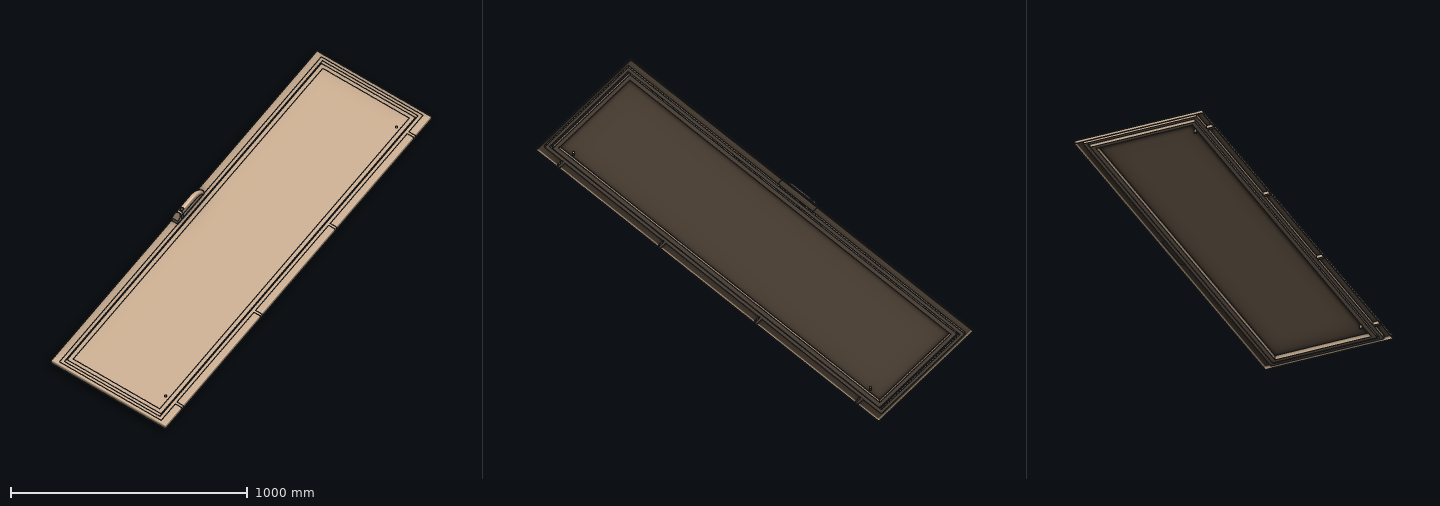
import cadquery as cq
door_width = 595.0
door_length = 1960.0
door_depth = 18.0
sheet = 2.0
bend_radius = 4.9

seal_drop = 5.0
seal_inset_x = 55.0
seal_inset_y = 45.0
seal_width_x = 20.0
seal_width_y = 18.0

frame_inset_x = 35.0
frame_inset_y = 18.0
frame_bar_x = 15.0
frame_bar_y = 14.0

lug_length = 12.0
lug_inner_pitch = 549.0
lug_outer_pitch = 1705.0

stud_diameter = 10.0
stud_inset = 92.0
stud_pitch = 1697.0

handle_width = 31.0
handle_height = 41.0
handle_wall_gap = 5.0
handle_back = 108.0
handle_front = -95.0
front_slope_top = -67.0
front_face_height = 20.0
nose_start = 35.0
crown_rise = 10.0

band_back = -55.0
band_front = -67.0
band_depth = 1.0
button_width = 12.0
button_length = 14.0
button_depth = 4.0
button_y = -43.0

panel_top = seal_drop + door_depth
panel_underside = panel_top - sheet
handle_x = handle_wall_gap + (handle_width - door_width) / 2


def block(width, length, bottom, top):
    """Box centred on the Z axis."""
    return cq.Workplane("XY").workplane(offset=bottom).rect(width, length).extrude(top - bottom)


def ring(inset_x, inset_y, bar_x, bar_y, bottom):
    """Rectangular frame hanging from the underside of the panel."""
    width = door_width - 2 * inset_x
    length = door_length - 2 * inset_y
    outer = block(width, length, bottom, panel_underside)
    return outer.cut(block(width - 2 * bar_x, length - 2 * bar_y, bottom, panel_underside))


def make_tray():
    outer = block(door_width, door_length, seal_drop, panel_top)
    outer = outer.edges("|Z").fillet(bend_radius).faces(">Z").edges().fillet(bend_radius)
    inside = block(door_width - 2 * sheet, door_length - 2 * sheet, seal_drop, panel_underside)
    inner_radius = bend_radius - sheet
    inside = inside.edges("|Z").fillet(inner_radius).faces(">Z").edges().fillet(inner_radius)
    return outer.cut(inside)


def make_lugs():
    lug_span = frame_inset_x - sheet
    lug_x = door_width / 2 - sheet - lug_span / 2
    lug_places = [(lug_x, side * pitch / 2) for pitch in (lug_inner_pitch, lug_outer_pitch) for side in (-1, 1)]
    lugs = cq.Workplane("XY").workplane(offset=seal_drop).pushPoints(lug_places)
    return lugs.rect(lug_span, lug_length).extrude(panel_underside - seal_drop)


def make_studs():
    stud_x = door_width / 2 - stud_inset
    studs = cq.Workplane("XY").workplane(offset=seal_drop)
    studs = studs.pushPoints([(stud_x, -stud_pitch / 2), (stud_x, stud_pitch / 2)])
    return studs.circle(stud_diameter / 2).extrude(panel_underside - seal_drop)


def make_door():
    door = make_tray()
    door = door.union(ring(seal_inset_x, seal_inset_y, seal_width_x, seal_width_y, 0))
    door = door.union(ring(frame_inset_x, frame_inset_y, frame_bar_x, frame_bar_y, seal_drop))
    return door.union(make_lugs()).union(make_studs())


def crown_bar(width, height, length):
    """Bar along -Y from Y = 0, standing on Z = 0, with an arched top."""
    side_height = height - crown_rise
    return (
        cq.Workplane("XZ")
        .moveTo(-width / 2, 0)
        .lineTo(width / 2, 0)
        .lineTo(width / 2, side_height)
        .threePointArc((0, height), (-width / 2, side_height))
        .close()
        .extrude(length)
    )


def make_nose():
    """Part of a crowned wheel whose rim leaves the flat top tangentially and meets the panel at the tip."""
    run = handle_back - nose_start
    rim_radius = (run**2 + handle_height**2) / (2 * handle_height)
    side_radius = rim_radius - crown_rise
    wheel = (
        cq.Workplane("XY")
        .moveTo(-handle_width / 2, 0)
        .lineTo(handle_width / 2, 0)
        .lineTo(handle_width / 2, side_radius)
        .threePointArc((0, rim_radius), (-handle_width / 2, side_radius))
        .close()
        .revolve(360, (0, 0), (1, 0))
        .translate((0, nose_start, handle_height - rim_radius))
    )
    nose_space = cq.Workplane("XY").box(handle_width, run, handle_height, centered=(True, False, False))
    return wheel.intersect(nose_space.translate((0, nose_start, 0)))


def make_front_slope_cutter():
    return (
        cq.Workplane("YZ")
        .moveTo(front_slope_top, handle_height)
        .lineTo(handle_front, front_face_height)
        .lineTo(handle_front, handle_height)
        .close()
        .extrude(handle_width / 2, both=True)
    )


def make_band_cutter():
    """Slab around the handle, less the slightly smaller core that stays inside the band."""
    length = band_back - band_front
    slab = cq.Workplane("XZ").rect(2 * handle_width, 2 * handle_height).extrude(length)
    core = crown_bar(handle_width - 2 * band_depth, handle_height - band_depth, length)
    return slab.cut(core).translate((0, band_back, 0))


def make_button_recess():
    recess = cq.Workplane("XY").box(button_width, button_length, button_depth, centered=(True, True, False))
    return recess.translate((0, button_y, handle_height - button_depth))


def make_handle():
    grip = crown_bar(handle_width, handle_height, nose_start - handle_front).translate((0, nose_start, 0))
    handle = grip.union(make_nose()).cut(make_front_slope_cutter())
    handle = handle.cut(make_band_cutter()).cut(make_button_recess())
    return handle.translate((handle_x, 0, panel_top))


door = make_door()
handle = make_handle()
result = cq.Compound.makeCompound([door.val(), handle.val()])